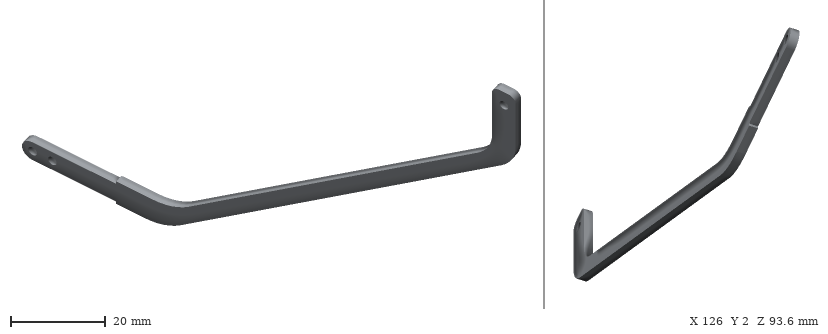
import cadquery as cq
import math

length = 126.0
height = 93.6
thickness = 2.0

shoulder_width = 6.9
tab_width = 5.4
tab_length = 24.1
tab_hole_spacing = 5.0
arm_center_z = shoulder_width / 2
tab_radius = tab_width / 2

upper_width = 6.0
corner_radius = 1.9
upper_hole_drop = 4.0

bar_angle = math.radians(39.5)
bar_width = 4.0
bar_mid_x = 63.0
bar_mid_z = 24.5

lower_bend_radius = 14.5
upper_bend_radius = 10.0
hole_diameter = 2.3


def bar_edge_z(x, side):
    """Height of the bar edge at x; side is +1 for the upper edge, -1 for the lower."""
    half_height = bar_width / 2 / math.cos(bar_angle)
    return bar_mid_z + (x - bar_mid_x) * math.tan(bar_angle) + side * half_height


def bar_edge_x(z, side):
    """Position along X where the chosen bar edge reaches height z."""
    return bar_mid_x + (z - bar_edge_z(bar_mid_x, side)) / math.tan(bar_angle)


def plate(sketch):
    """Extrude an XZ outline through the thickness, centred on Y = 0."""
    return sketch.extrude(thickness / 2, both=True)


def make_bent_strip():
    """Shoulder, bar and upper arm as one strip with rounded bends and top corners."""
    upper_left_x = length - upper_width
    lower_bends = [
        (bar_edge_x(0, -1), 0),
        (bar_edge_x(shoulder_width, 1), shoulder_width),
    ]
    upper_bends = [
        (length, bar_edge_z(length, -1)),
        (upper_left_x, bar_edge_z(upper_left_x, 1)),
    ]
    top_corners = [(length, height), (upper_left_x, height)]
    outline = [
        (tab_length, 0),
        lower_bends[0],
        upper_bends[0],
        *top_corners,
        upper_bends[1],
        lower_bends[1],
        (tab_length, shoulder_width),
    ]
    strip = plate(cq.Workplane("XZ").polyline(outline).close())
    rounded_groups = (
        (lower_bends, lower_bend_radius),
        (upper_bends, upper_bend_radius),
        (top_corners, corner_radius),
    )
    for corners, radius in rounded_groups:
        for x, z in corners:
            edge = cq.selectors.NearestToPointSelector((x, 0, z))
            strip = strip.edges("|Y").edges(edge).fillet(radius)
    return strip


def make_tab():
    """Narrow tab with a full-round free end."""
    outline = (
        cq.Workplane("XZ")
        .moveTo(tab_length, arm_center_z - tab_radius)
        .lineTo(tab_length, arm_center_z + tab_radius)
        .lineTo(tab_radius, arm_center_z + tab_radius)
        .threePointArc((0, arm_center_z), (tab_radius, arm_center_z - tab_radius))
        .close()
    )
    return plate(outline)


def make_holes():
    """Two holes in the tab and one near the top of the upper arm."""
    centers = [
        (tab_radius, arm_center_z),
        (tab_radius + tab_hole_spacing, arm_center_z),
        (length - upper_width / 2, height - upper_hole_drop),
    ]
    return plate(cq.Workplane("XZ").pushPoints(centers).circle(hole_diameter / 2))


result = make_bent_strip().union(make_tab()).cut(make_holes())